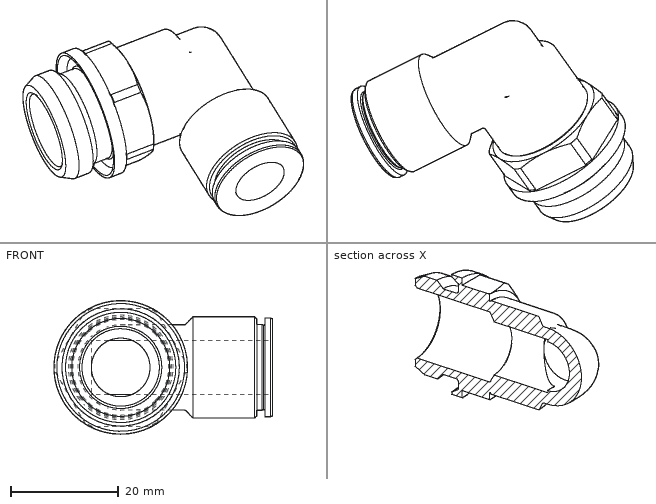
import cadquery as cq
import math


elbow_radius = 7.98
elbow_corner_round = 3.95
blend_radius = 0.5

stem_end = -31.0
thread_chamfer_start = -28.8
thread_start = -25.85
relief_bottom = -24.4
flange_bottom = -22.45
flange_top = -19.95
hex_top = -13.55
sleeve_chamfer = 0.3
shoulder_bottom = -2.0
shoulder_top = -1.1

stem_end_radius = 9.15
thread_radius = 10.3
relief_radius = 8.95
flange_diameter = 25.0
flange_radius = flange_diameter / 2
sleeve_radius = 9.78
shoulder_round = 0.57

hex_across_flats = 22.0
hex_corner_radius = 12.25
hex_corner_flare = 0.2
hex_chamfer_angle = 30
hex_sides = 6

recess_outer_radius = 11.95
recess_inner_radius = 10.95
recess_depth = 1.5
relief_chamfer = 0.33

stem_bore_radius = 7.25
stem_bore_chamfer = 0.45
stem_bore_top = hex_top
bore_cone_height = 1.02
passage_radius = 5.5

collar_cone_start = 12.05
collar_cone_end = 13.5
collar_end = 25.45
collar_chamfer = 0.4
branch_neck_end = 26.42
groove_bottom = 26.7
rim_start = 26.95
overall_length = 40.9
branch_end = overall_length - flange_radius
rim_chamfer_length = 0.35
rim_chamfer_depth = 0.15

collar_radius = 9.5
branch_neck_radius = 8.05
groove_radius = 7.85
rim_radius = 9.25
branch_bore_radius = 5.05

edge_margin = 0.05
junction_margin = 0.6


def edges_near_x(station, margin):
    """Selector for edges centred within a margin of a station along X."""
    reach = overall_length
    return cq.selectors.BoxSelector((station - margin, -reach, -reach), (station + margin, reach, reach))


def edges_near_y(station, margin):
    """Selector for edges centred within a margin of a station along Y."""
    reach = overall_length
    return cq.selectors.BoxSelector((-reach, station - margin, -reach), (reach, station + margin, reach))


def revolve_stem(points):
    """Revolve (radius, y) points about the stem axis."""
    return cq.Workplane("XY").polyline(points).close().revolve(360, (0, 0), (0, 1))


def revolve_branch(points):
    """Revolve (x, radius) points about the branch axis."""
    return cq.Workplane("XY").polyline(points).close().revolve(360, (0, 0), (1, 0))


def half_leg(plane, start):
    """Half-round leg above Z = 0, its surface kept split along the crown."""
    diagonal = elbow_radius * math.sqrt(0.5)
    outline = cq.Workplane(plane, origin=start).moveTo(-elbow_radius, 0)
    outline = outline.threePointArc((-diagonal, diagonal), (0, elbow_radius))
    outline = outline.threePointArc((diagonal, diagonal), (elbow_radius, 0)).close()
    return outline.extrude(collar_cone_start + elbow_radius, clean=False)


def make_elbow():
    """Mitred pair of cylinders with the outer ridge of the mitre rounded."""
    size = 2 * collar_cone_start
    below_mitre = cq.Workplane("XY").polyline([(-size, size), (size, -size), (-size, -size)]).close()
    below_mitre = below_mitre.extrude(size)
    branch_leg = half_leg("YZ", (-elbow_radius, 0, 0)).cut(below_mitre)
    stem_leg = half_leg("XZ", (0, elbow_radius, 0)).intersect(below_mitre)
    half = branch_leg.union(stem_leg)

    ridge = cq.selectors.BoxSelector((-size, 0, 0), (-edge_margin, size, size))
    half = half.edges(ridge).fillet(elbow_corner_round)
    return half.union(half.mirror("XY"))


def make_sleeve():
    """Round sleeve between the hexagon and the elbow, with a sloped shoulder."""
    sleeve = revolve_stem([
        (0, hex_top),
        (sleeve_radius - sleeve_chamfer, hex_top),
        (sleeve_radius, hex_top + sleeve_chamfer),
        (sleeve_radius, shoulder_bottom),
        (elbow_radius, shoulder_top),
        (0, shoulder_top),
    ])
    return sleeve.edges(edges_near_y(shoulder_bottom, edge_margin)).fillet(shoulder_round)


def make_hexagon():
    """Hexagon with flats facing Z, its corners turned round and chamfered on top."""
    corner_distance = hex_across_flats / math.cos(math.pi / hex_sides)
    prism = cq.Workplane("XZ", origin=(0, hex_top, 0)).polygon(hex_sides, corner_distance)
    prism = prism.extrude(hex_top - flange_top)
    top_radius = hex_across_flats / 2
    chamfer_drop = (hex_corner_radius - top_radius) * math.tan(math.radians(hex_chamfer_angle))
    turned_envelope = revolve_stem([
        (0, flange_top),
        (flange_radius, flange_top),
        (hex_corner_radius, flange_top + hex_corner_flare),
        (hex_corner_radius, hex_top - chamfer_drop),
        (top_radius, hex_top),
        (0, hex_top),
    ])
    return prism.intersect(turned_envelope)


def make_spigot():
    """Flange with its sealing recess, relief neck and plain threaded end."""
    recess_roof = flange_bottom + recess_depth
    return revolve_stem([
        (0, flange_top),
        (flange_radius, flange_top),
        (flange_radius, flange_bottom),
        (recess_outer_radius, flange_bottom),
        (recess_inner_radius, recess_roof),
        (relief_radius + relief_chamfer, recess_roof),
        (relief_radius, recess_roof - relief_chamfer),
        (relief_radius, relief_bottom),
        (thread_radius, thread_start),
        (thread_radius, thread_chamfer_start),
        (stem_end_radius, stem_end),
        (0, stem_end),
    ])


def make_collar():
    """Tube collar, grooved neck and release rim on the end of the branch."""
    return revolve_branch([
        (collar_cone_start, 0),
        (collar_cone_start, elbow_radius),
        (collar_cone_end, collar_radius),
        (collar_end - collar_chamfer, collar_radius),
        (collar_end, collar_radius - collar_chamfer),
        (collar_end, branch_neck_radius),
        (branch_neck_end, branch_neck_radius),
        (groove_bottom, groove_radius),
        (rim_start, branch_neck_radius),
        (rim_start, rim_radius),
        (branch_end - rim_chamfer_length, rim_radius),
        (branch_end, rim_radius - rim_chamfer_depth),
        (branch_end, 0),
    ])


def make_stem_bore():
    """Chamfered stem bore that narrows through a cone to the passage."""
    return revolve_stem([
        (0, stem_end),
        (stem_bore_radius + stem_bore_chamfer, stem_end),
        (stem_bore_radius, stem_end + stem_bore_chamfer),
        (stem_bore_radius, stem_bore_top),
        (passage_radius, stem_bore_top + bore_cone_height),
        (passage_radius, 0),
        (0, 0),
    ])


def make_branch_bore():
    """Straight branch bore from the far side of the passage out of the rim."""
    bore = cq.Workplane("YZ", origin=(-passage_radius, 0, 0)).circle(branch_bore_radius)
    return bore.extrude(passage_radius + branch_end)


body = make_elbow().union(make_sleeve())
body = body.edges(edges_near_y(shoulder_top, junction_margin)).fillet(blend_radius)

body = body.union(make_collar())
body = body.edges(edges_near_x(collar_cone_start, edge_margin)).fillet(blend_radius)

body = body.union(make_hexagon()).union(make_spigot())
result = body.cut(make_stem_bore()).cut(make_branch_bore())